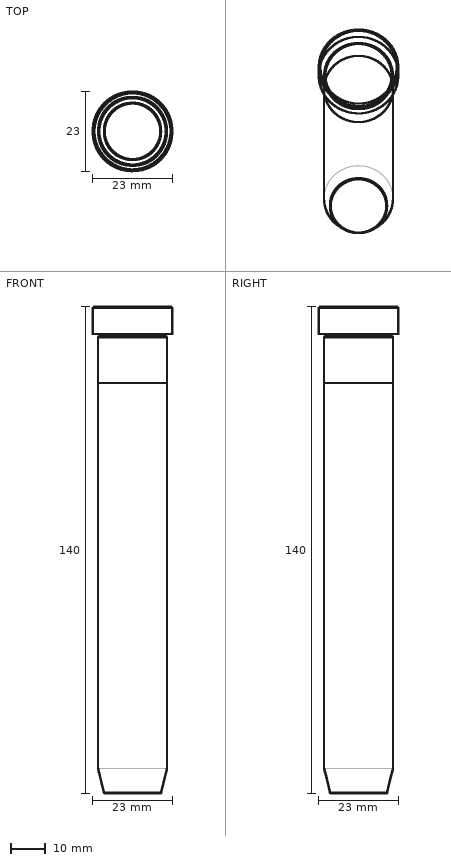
import cadquery as cq

length = 140.0
top_z = length / 2
bottom_z = -length / 2

head_radius = 11.5
head_height = 8.0
head_chamfer = 0.5

shank_radius = 10.0
groove_radius = 9.5
groove_width = 0.5
groove_taper = shank_radius - groove_radius

upper_length = 22.0

tip_height = 7.1
tip_radius = 8.3
tip_chamfer = 0.3

joint_z = top_z - upper_length
head_underside_z = top_z - head_height
groove_bottom_z = head_underside_z - groove_width


def revolve_about_z(profile):
    """Turn a closed (radius, height) outline into a solid around the Z axis."""
    return cq.Workplane("XZ").polyline(profile).close().revolve(360, (0, 0), (0, 1))


def make_headed_section():
    """Head with a chamfered rim, relief groove and the upper part of the shank."""
    return revolve_about_z([
        (0, joint_z),
        (shank_radius, joint_z),
        (shank_radius, groove_bottom_z - groove_taper),
        (groove_radius, groove_bottom_z),
        (groove_radius, head_underside_z),
        (head_radius, head_underside_z),
        (head_radius, top_z - head_chamfer),
        (head_radius - head_chamfer, top_z),
        (0, top_z),
    ])


def make_tapered_shaft():
    """Long plain shaft that ends in a cone with a chamfered end."""
    return revolve_about_z([
        (0, bottom_z),
        (tip_radius - tip_chamfer, bottom_z),
        (tip_radius, bottom_z + tip_chamfer),
        (shank_radius, bottom_z + tip_height),
        (shank_radius, joint_z),
        (0, joint_z),
    ])


headed_section = make_headed_section()
tapered_shaft = make_tapered_shaft()

result = cq.Compound.makeCompound([headed_section.val(), tapered_shaft.val()])